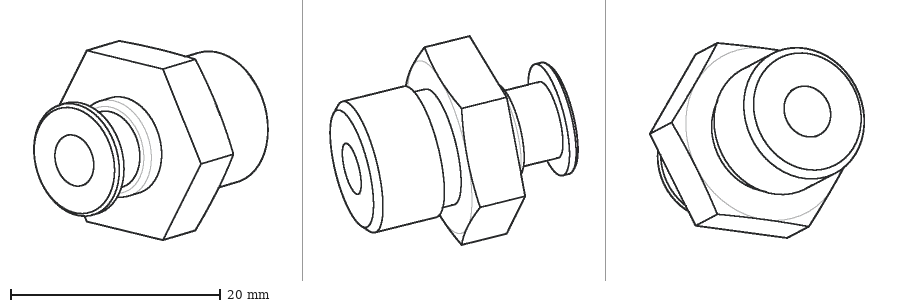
import cadquery as cq
import math

length = 21.2
flange_end = 1.0
neck_end = 5.2
collar_end = 7.2
hex_end = 12.2
relief_end = 14.2

flange_diameter = 11.0
neck_diameter = 7.5
collar_diameter = 9.5
relief_diameter = 11.4
spigot_diameter = 12.93
bore_diameter = 5.0

hex_across_flats = 17.0
hex_across_corners = hex_across_flats / math.cos(math.radians(30))
hex_chamfer_angle = 15.0
corner_clearance = 0.21

flange_chamfer = 0.32
collar_fillet = 0.5
spigot_chamfer = 0.7


def front_plane(station):
    """XZ plane at a Y station, with its normal along +Y."""
    return cq.Plane(origin=(0, station, 0), xDir=(1, 0, 0), normal=(0, 1, 0))


def cylinder(diameter, start, end):
    return cq.Workplane(front_plane(start)).circle(diameter / 2).extrude(end - start)


def chamfered_hexagon():
    """Hexagon whose corners are turned down by a cone on the spigot side."""
    hexagon = (
        cq.Workplane(front_plane(collar_end))
        .polygon(6, hex_across_corners)
        .extrude(hex_end - collar_end)
    )
    face_radius = hex_across_flats / 2
    outer_radius = hex_across_corners / 2 + corner_clearance
    drop = (outer_radius - face_radius) * math.tan(math.radians(hex_chamfer_angle))
    envelope = (
        cq.Workplane("XY")
        .moveTo(0, collar_end)
        .lineTo(outer_radius, collar_end)
        .lineTo(outer_radius, hex_end - drop)
        .lineTo(face_radius, hex_end)
        .lineTo(0, hex_end)
        .close()
        .revolve(360, (0, 0, 0), (0, 1, 0))
    )
    return hexagon.intersect(envelope)


flange = cylinder(flange_diameter, 0, flange_end).faces("<Y").chamfer(flange_chamfer)
neck = cylinder(neck_diameter, flange_end, neck_end)
collar = cylinder(collar_diameter, neck_end, collar_end).faces("<Y").edges().fillet(collar_fillet)
relief = cylinder(relief_diameter, hex_end, relief_end)
spigot = cylinder(spigot_diameter, relief_end, length).faces(">Y").chamfer(spigot_chamfer)

body = flange
for section in (neck, collar, chamfered_hexagon(), relief, spigot):
    body = body.union(section)

result = body.cut(cylinder(bore_diameter, 0, length))